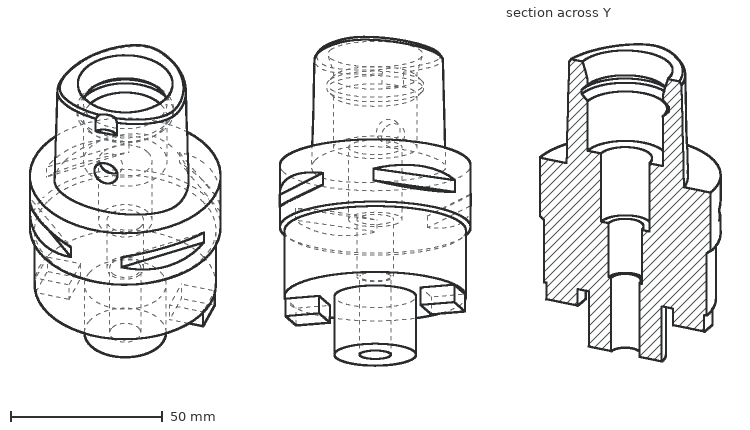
import cadquery as cq
import math

total_height = 103.0
body_bottom = 20.0
flange_bottom = 42.5
flange_top = 65.0

flange_radius = 31.5
body_radius = 30.0
pilot_radius = 13.5
flange_chamfer_height = 1.1

shank_mean_radius = 22.1
outline_points = 48
lobe_height = 1.4
taper_per_side = 1 / 40
shank_chamfer_height = 1.2
shank_chamfer_width = 0.8

mouth_radius = 15.7
bore_radius = 13.8
mouth_depth = 6.3
bore_floor = 71.1
thread_radius = 8.9
thread_floor = 46.4
passage_radius = 6.1
passage_floor = 26.8
outlet_radius = 5.2

clamp_groove_radius = 16.0
clamp_groove_depth = 8.1
clamp_groove_land = 1.5

notch_radius = 4.9
notch_reach = 17.9
notch_depth = 6.3
hole_radius = 4.0
hole_height = 80.5
hole_bottom = 14.6

gripper_count = 4
gripper_spacing = 360 / gripper_count
first_gripper_angle = gripper_spacing / 2
gripper_distance = 27.6
gripper_height = 52.9
gripper_floor_width = 4.0
gripper_flank_angle = 27.0

lug_outer = 29.1
lug_inner = 17.5
lug_width = 12.2
lug_height = 6.0


def lobed_section(mean_radius, height):
    """Constant-width three-lobed outline with one lobe pointing to +Y."""

    def outline_point(angle):
        reach = mean_radius + lobe_height * math.cos(3 * angle)
        slope = -3 * lobe_height * math.sin(3 * angle)
        x = -reach * math.sin(angle) - slope * math.cos(angle)
        y = reach * math.cos(angle) - slope * math.sin(angle)
        return (x, y)

    points = [outline_point(2 * math.pi * i / outline_points) for i in range(outline_points)]
    outline = cq.Workplane("XY", origin=(0, 0, height)).spline(points, periodic=True)
    return outline.wire().val()


def lofted(bottom_wire, top_wire):
    """Solid with straight sides between two outlines."""
    return cq.Workplane(cq.Solid.makeLoft([bottom_wire, top_wire], ruled=True))


def make_shank():
    """Tapered three-lobed shank with a chamfered top edge."""
    chamfer_start = total_height - shank_chamfer_height
    neck_radius = shank_mean_radius - taper_per_side * (chamfer_start - flange_top)
    base = lobed_section(shank_mean_radius, flange_top)
    neck = lobed_section(neck_radius, chamfer_start)
    tip = lobed_section(neck_radius - shank_chamfer_width, total_height)
    return lofted(base, neck).union(lofted(neck, tip))


def turned(profile):
    """Solid of revolution about Z from (radius, height) points."""
    return cq.Workplane("YZ").polyline(profile).close().revolve(360, (0, 0, 0), (0, 1, 0))


def make_round_body():
    """Pilot, body and flange as one turned piece."""
    profile = [
        (0, 0),
        (pilot_radius, 0),
        (pilot_radius, body_bottom),
        (body_radius, body_bottom),
        (body_radius, flange_bottom),
        (flange_radius, flange_bottom + flange_chamfer_height),
        (flange_radius, flange_top),
        (0, flange_top),
    ]
    return turned(profile)


def make_bore():
    """Stepped through bore with its conical mouth and clamping groove."""
    flank = clamp_groove_radius - bore_radius
    groove_top = total_height - clamp_groove_depth
    land_top = groove_top - flank
    land_bottom = land_top - clamp_groove_land
    profile = [
        (0, 0),
        (outlet_radius, 0),
        (outlet_radius, passage_floor),
        (passage_radius, passage_floor),
        (passage_radius, thread_floor),
        (thread_radius, thread_floor),
        (thread_radius, bore_floor),
        (bore_radius, bore_floor),
        (bore_radius, land_bottom - flank),
        (clamp_groove_radius, land_bottom),
        (clamp_groove_radius, land_top),
        (bore_radius, groove_top),
        (bore_radius, total_height - mouth_depth),
        (mouth_radius, total_height),
        (0, total_height),
    ]
    return turned(profile)


def make_notch():
    return (
        cq.Workplane("XY", origin=(0, -notch_reach - notch_radius, total_height))
        .circle(notch_radius)
        .extrude(-notch_depth)
    )


def make_side_hole():
    return (
        cq.Workplane("XZ", origin=(0, -hole_bottom, hole_height))
        .circle(hole_radius)
        .extrude(shank_mean_radius - hole_bottom)
    )


def make_gripper_groove(angle):
    """Flat-bottomed groove with sloping flanks, cut square to the given direction."""
    flank_length = flange_radius - gripper_distance
    half_floor = gripper_floor_width / 2
    half_mouth = half_floor + flank_length * math.tan(math.radians(gripper_flank_angle))
    section = [
        (gripper_distance, gripper_height - half_floor),
        (flange_radius, gripper_height - half_mouth),
        (flange_radius, gripper_height + half_mouth),
        (gripper_distance, gripper_height + half_floor),
    ]
    groove = cq.Workplane("XZ").polyline(section).close().extrude(flange_radius, both=True)
    return groove.rotate((0, 0, 0), (0, 0, 1), angle)


def make_lug(side):
    centre = side * (lug_outer + lug_inner) / 2
    return (
        cq.Workplane("XY", origin=(centre, 0, body_bottom))
        .rect(lug_outer - lug_inner, lug_width)
        .extrude(-lug_height)
    )


result = make_round_body().union(make_shank())
for side in (-1, 1):
    result = result.union(make_lug(side))

result = result.cut(make_bore()).cut(make_notch()).cut(make_side_hole())
for index in range(gripper_count):
    result = result.cut(make_gripper_groove(first_gripper_angle + index * gripper_spacing))